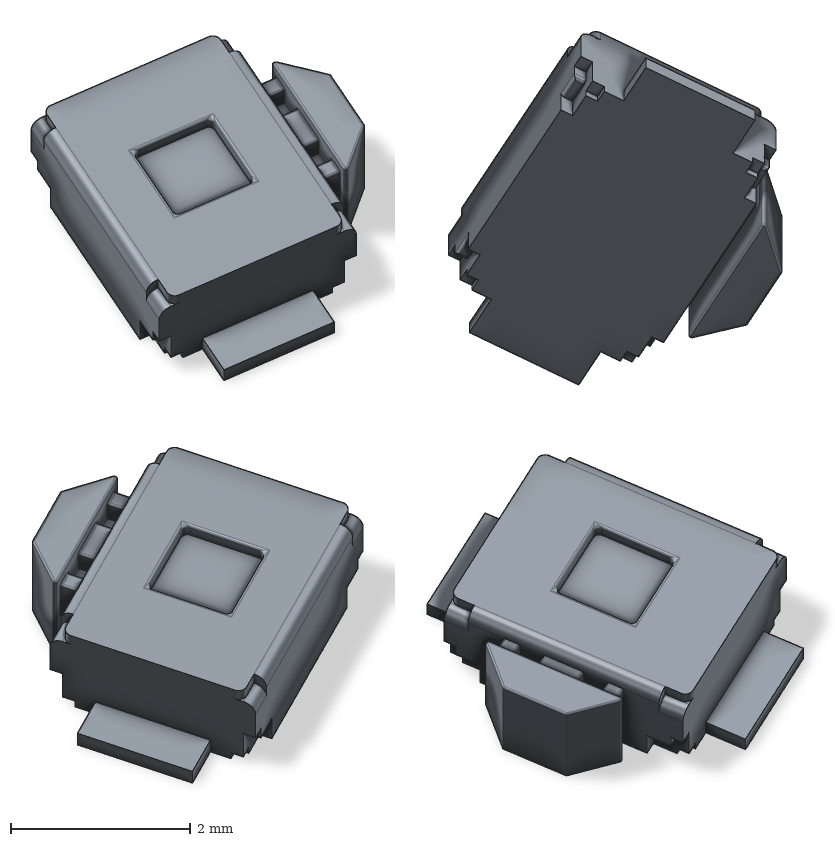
import cadquery as cq


body_width = 3.0
body_depth = 2.5
height = 1.2
core_depth = 2.2
sheet = (body_depth - core_depth) / 2
shoulder_height = height - sheet

arm_width = 0.3
arm_bottom = 0.5

cover_corner_radius = 0.1
flap_width = body_width - 2 * arm_width
flap_foot_width = flap_width + 2 * sheet
flap_bottom = 0.3
flap_foot_radius = 0.05

base_width = 2.1
base_height = 0.6
notch_size = sheet
notch_height = 0.1

overall_width = 4.0
terminal_depth = 1.4
terminal_thickness = 0.2

window_size = 1.0
window_corner_radius = 0.08
window_lip_radius = 0.035

overall_depth = 3.2
button_length = 0.5
button_width = 1.7
button_tip_width = 0.8
button_edge_radius = 0.025
button_tip = overall_depth - body_depth / 2
button_back = button_tip - button_length
button_shoulder = button_tip - (button_width - button_tip_width) / 2

stem_width = 1.5
stem_bottom = 0.525
stem_top = shoulder_height
stem_groove_floor = 0.775
stem_middle_width = 0.5
stem_outer_width = 0.2
stem_edge_radius = 0.025
stem_root_radius = 0.02
stem_embedment = 0.2

margin = 0.0005


def block(width, depth, bottom, top):
    """Box centred in X and Y between two heights."""
    return cq.Workplane("XY").workplane(offset=bottom).rect(width, depth).extrude(top - bottom)


def make_core():
    core = block(body_width, core_depth, 0, shoulder_height)
    notch_pitch_x = body_width - notch_size
    notch_pitch_y = core_depth - notch_size
    notches = (
        cq.Workplane("XY")
        .rect(notch_pitch_x, notch_pitch_y, forConstruction=True)
        .vertices()
        .rect(notch_size, notch_size)
        .extrude(notch_height)
    )
    base = block(base_width, body_depth, 0, base_height)
    terminals = block(overall_width, terminal_depth, 0, terminal_thickness)
    return core.cut(notches).union(base).union(terminals)


def make_arms():
    """Full-width bar over both ends; the cover flaps fill its middle."""
    arms = block(body_width, body_depth, arm_bottom, shoulder_height)
    return arms.edges("|X and >Z").fillet(sheet)


def make_cover():
    plate = block(body_width, core_depth, shoulder_height, height)
    plate = plate.edges("|Z").fillet(cover_corner_radius)
    flaps = block(flap_width, body_depth, arm_bottom, height)
    flaps = flaps.edges("|X and >Z").fillet(sheet)
    feet = block(flap_foot_width, body_depth, flap_bottom, arm_bottom)
    feet = feet.faces("<Z").edges().fillet(flap_foot_radius)
    return plate.union(flaps).union(feet)


def cut_window(housing):
    """Blind square window; its lip is rounded first, so the corner rounding runs out along the lip."""
    window = block(window_size, window_size, shoulder_height, height)
    zone_half = window_size / 2 + window_lip_radius + margin
    zone = cq.selectors.BoxSelector(
        (-zone_half, -zone_half, shoulder_height - margin),
        (zone_half, zone_half, height + margin),
        boundingbox=True,
    )
    housing = housing.cut(window)
    housing = housing.edges(zone).edges(">Z").fillet(window_lip_radius)
    return housing.edges(zone).edges("|Z").fillet(window_corner_radius)


def make_button():
    half = button_width / 2
    half_tip = button_tip_width / 2
    outline = [
        (-half, button_back),
        (half, button_back),
        (half, button_shoulder),
        (half_tip, button_tip),
        (-half_tip, button_tip),
        (-half, button_shoulder),
    ]
    button = cq.Workplane("XY").polyline(outline).close().extrude(height)
    return button.edges().fillet(button_edge_radius)


def make_stem():
    """Bar with two grooves along its top, which leave three ribs."""
    groove_outer = stem_width / 2 - stem_outer_width
    groove_inner = stem_middle_width / 2
    section = [
        (-stem_width / 2, stem_bottom),
        (-stem_width / 2, stem_top),
        (-groove_outer, stem_top),
        (-groove_outer, stem_groove_floor),
        (-groove_inner, stem_groove_floor),
        (-groove_inner, stem_top),
        (0, stem_top),
        (0, stem_bottom),
    ]
    start = body_depth / 2 - stem_embedment
    half_stem = (
        cq.Workplane("XZ", origin=(0, start, 0))
        .polyline(section)
        .close()
        .extrude(start - button_back)
    )
    stem = half_stem.union(half_stem.mirror("YZ")).clean()
    return stem.edges("|Y").fillet(stem_edge_radius)


def make_actuator():
    actuator = make_button().union(make_stem())
    root = cq.selectors.BoxSelector(
        (-stem_width / 2 - margin, button_back - margin, stem_bottom - margin),
        (stem_width / 2 + margin, button_back + margin, stem_top + margin),
        boundingbox=True,
    )
    return actuator.edges(root).fillet(stem_root_radius)


housing = make_core().union(make_arms()).union(make_cover())
housing = cut_window(housing)
result = housing.union(make_actuator())